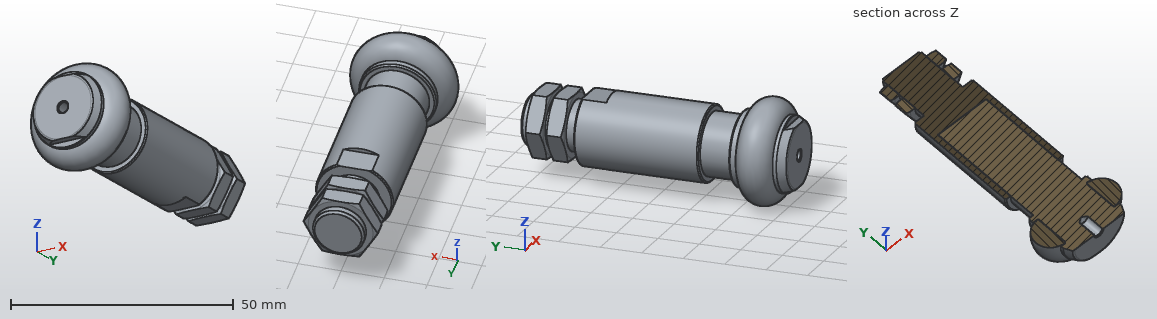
import cadquery as cq
import math

OVERALL_LENGTH = 65

SHAFT_DIA = 15.0
HEAD_DIA = 18.0
HEAD_LENGTH = 13.65
HEAD_BACK_CHAMFER = 0.4
NOSE_DIA = 16.0
NOSE_LENGTH = 2.1
NOSE_FACE_DIA = 15.0
NOSE_BEVEL_DEPTH = 0.1
HEAD_ACROSS_FLATS = 15.0
HEAD_FLAT_LENGTH = 1.9
CENTRE_HOLE_DIA = 2.5
CENTRE_HOLE_MOUTH_DIA = 3.0
CENTRE_HOLE_CHAMFER = (CENTRE_HOLE_MOUTH_DIA - CENTRE_HOLE_DIA) / 2
CENTRE_HOLE_DEPTH = 5.0
DRILL_TIP_HALF_ANGLE = math.radians(59)

RING_OUTER_DIA = 24.95
RING_WIDTH = 9.0
RING_FRONT = 3.0
RING_BACK = RING_FRONT + RING_WIDTH
GROOVE_DIA = SHAFT_DIA

SLEEVE_DIA = 18.0
SLEEVE_FRONT = 21.0
SLEEVE_BACK = 51.0
SLEEVE_CHAMFER = 0.3
SLEEVE_ACROSS_FLATS = 16.0
SLEEVE_FLAT_LENGTH = 6.05
BORE_END = SLEEVE_BACK - SLEEVE_FLAT_LENGTH
STUD_DIA = 12.0
STUD_TIP_DIA = 10.9
STUD_CHAMFER = (STUD_DIA - STUD_TIP_DIA) / 2

NUT_COUNT = 2
NUT_ACROSS_FLATS = 15.0
NUT_ACROSS_CORNERS = NUT_ACROSS_FLATS / math.cos(math.pi / 6)
NUT_THICKNESS = 4.0
NUT_GAP = 1.05
NUT_FRONT = 53.9
NUT_CHAMFER_ANGLE = math.radians(15)


def revolve_about_y(profile):
    """Turn a closed (radius, Y) sketch into a solid of revolution."""
    return profile.close().revolve(360, (0, 0, 0), (0, 1, 0))


def cylinder(diameter, front, back):
    """Cylinder along Y between two positions."""
    sketch = cq.Workplane("XZ", origin=(0, front, 0)).circle(diameter / 2)
    return sketch.extrude(front - back)


def slab(across_flats, front, back):
    """Wide block whose top and bottom faces form a pair of wrench flats."""
    length = back - front
    block = cq.Workplane("XY").box(RING_OUTER_DIA, length, across_flats)
    return block.translate((0, (front + back) / 2, 0))


def cut_wrench_flats(body, across_flats, front, back):
    """Cut flats above and below the axis over one stretch of a round body."""
    outside = cylinder(RING_OUTER_DIA, front, back).cut(slab(across_flats, front, back))
    return body.cut(outside)


def make_shaft():
    """Plunger shaft with its bevelled, grooved head and a drilled centre hole."""
    head_radius = HEAD_DIA / 2
    drill_tip_length = CENTRE_HOLE_DIA / 2 / math.tan(DRILL_TIP_HALF_ANGLE)
    profile = (
        cq.Workplane("XY")
        .moveTo(0, CENTRE_HOLE_DEPTH + drill_tip_length)
        .lineTo(CENTRE_HOLE_DIA / 2, CENTRE_HOLE_DEPTH)
        .lineTo(CENTRE_HOLE_DIA / 2, CENTRE_HOLE_CHAMFER)
        .lineTo(CENTRE_HOLE_MOUTH_DIA / 2, 0)
        .lineTo(NOSE_FACE_DIA / 2, 0)
        .lineTo(NOSE_DIA / 2, NOSE_BEVEL_DEPTH)
        .lineTo(head_radius, NOSE_LENGTH)
        .lineTo(head_radius, RING_FRONT)
        .lineTo(GROOVE_DIA / 2, RING_FRONT)
        .lineTo(GROOVE_DIA / 2, RING_BACK)
        .lineTo(head_radius, RING_BACK)
        .lineTo(head_radius, HEAD_LENGTH - HEAD_BACK_CHAMFER)
        .lineTo(head_radius - HEAD_BACK_CHAMFER, HEAD_LENGTH)
        .lineTo(SHAFT_DIA / 2, HEAD_LENGTH)
        .lineTo(SHAFT_DIA / 2, BORE_END)
        .lineTo(0, BORE_END)
    )
    return cut_wrench_flats(revolve_about_y(profile), HEAD_ACROSS_FLATS, 0, HEAD_FLAT_LENGTH)


def make_cushion_ring():
    """Ring with straight sides and a half-round rim."""
    rim_centre = (RING_OUTER_DIA - RING_WIDTH) / 2
    profile = (
        cq.Workplane("XY")
        .moveTo(GROOVE_DIA / 2, RING_FRONT)
        .lineTo(rim_centre, RING_FRONT)
        .threePointArc((RING_OUTER_DIA / 2, (RING_FRONT + RING_BACK) / 2), (rim_centre, RING_BACK))
        .lineTo(GROOVE_DIA / 2, RING_BACK)
    )
    return revolve_about_y(profile)


def make_sleeve():
    """Bored sleeve with wrench flats and a solid stud at its back."""
    barrel = cylinder(SLEEVE_DIA, SLEEVE_FRONT, SLEEVE_BACK).edges().chamfer(SLEEVE_CHAMFER)
    stud = cylinder(STUD_DIA, SLEEVE_BACK, OVERALL_LENGTH).faces(">Y").chamfer(STUD_CHAMFER)
    bore = cylinder(SHAFT_DIA, SLEEVE_FRONT, BORE_END)
    body = barrel.union(stud).cut(bore)
    return cut_wrench_flats(body, SLEEVE_ACROSS_FLATS, BORE_END, SLEEVE_BACK)


def make_nut(front):
    """Hexagon nut with flats up and down and its corners bevelled at both ends."""
    back = front + NUT_THICKNESS
    corner_radius = NUT_ACROSS_CORNERS / 2
    face_radius = NUT_ACROSS_FLATS / 2
    corner_drop = (corner_radius - face_radius) * math.tan(NUT_CHAMFER_ANGLE)
    hexagon = (
        cq.Workplane("XZ", origin=(0, front, 0))
        .polygon(6, NUT_ACROSS_CORNERS)
        .extrude(-NUT_THICKNESS)
    )
    bevel_profile = (
        cq.Workplane("XY")
        .moveTo(0, front)
        .lineTo(face_radius, front)
        .lineTo(corner_radius, front + corner_drop)
        .lineTo(corner_radius, back - corner_drop)
        .lineTo(face_radius, back)
        .lineTo(0, back)
    )
    bevelled = hexagon.intersect(revolve_about_y(bevel_profile))
    return bevelled.cut(cylinder(STUD_DIA, front, back))


shaft = make_shaft()
cushion_ring = make_cushion_ring()
sleeve = make_sleeve()
nuts = [make_nut(NUT_FRONT + i * (NUT_THICKNESS + NUT_GAP)) for i in range(NUT_COUNT)]

result = cq.Compound.makeCompound(
    [shaft.val(), cushion_ring.val(), sleeve.val(), *[nut.val() for nut in nuts]]
)